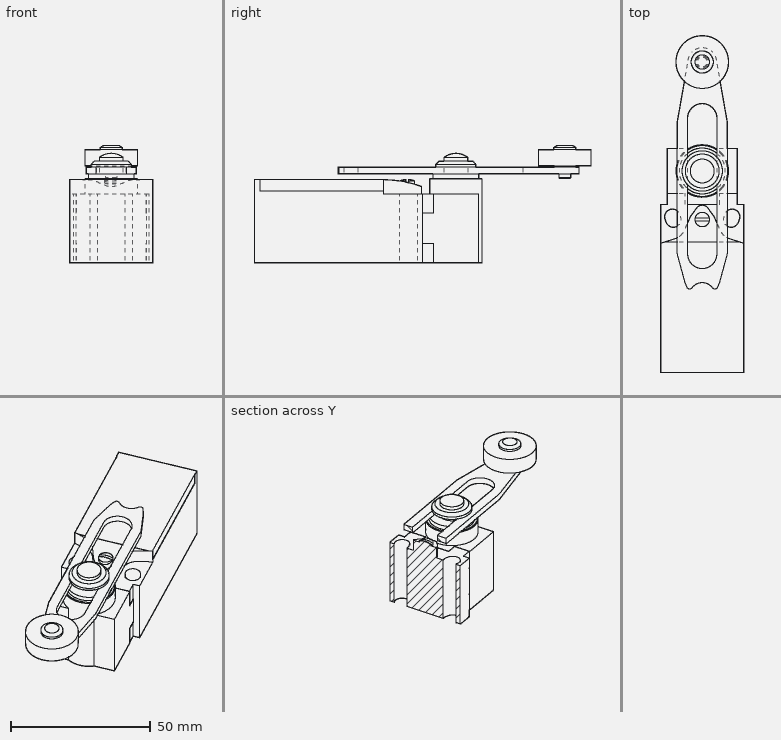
import math

import cadquery as cq


body_width = 30.0
body_height = 30.0
body_front = -72.5
body_back = -12.05
deck_height = 24.8

cover_inset = 0.15
cover_front = -70.5
cover_back = -26.0
cover_bottom = 25.9

head_width = 25.3
head_drop = 0.1
head_height = deck_height - head_drop
head_front = 8.1
boss_radius = 9.45
boss_top = 30.4
boss_chamfer = 0.3

tab_inset = 0.15
tab_start = -8.05
tab_inner = 6.2
tab_height = 6.9

nose_tip = -12.3
nose_round_x = 2.0
nose_round_y = -13.3
nose_flank_x = 4.25
nose_flank_y = -16.4
flank_end_x = 6.4
flank_end_y = -21.2
shoulder_x = 9.9
shoulder_y = -24.4
shoulder_mid_x = 7.7
shoulder_mid_y = -23.1
nose_tip_height = 27.45
slope_mid_y = -18.0
slope_mid_height = 29.1
slope_end = -24.5
slope_top_height = 29.9
lip_y = -25.55

screw_y = -17.45
screw_radius = 2.6
screw_edge_height = 29.5
screw_top = 30.1
screw_slot_width = 1.0
screw_slot_floor = 28.8

hole_radius = 2.75
hole_outer_x = 10.75
hole_outer_y = -16.5
hole_shift_x = 0.35
hole_shift_y = 0.95

arm_bottom = 32.0
arm_thickness = 2.4
arm_top = arm_bottom + arm_thickness
arm_half_width = 9.0
arm_tip_radius = 5.15
arm_taper = math.radians(10)
arm_bend_radius = 3.0
slot_half_width = 5.25
slot_back = 24.2
slot_front = -35.1
foot_bend_y = -29.9
foot_x = 6.3
foot_y = -39.85
toe_outer_x = 5.4
toe_outer_y = -42.0
toe_x = 4.58
toe_y = -42.4
toe_inner_x = 3.7
toe_inner_y = -42.0
notch_top = -40.15

neck_radius = 8.25
washer_radius = 7.25
washer_edge_height = 35.4
washer_top_radius = 6.1
washer_top = 36.6
bolt_radius = 4.3
bolt_edge_height = 37.9
bolt_top = 39.45

roller_y = 39.2
roller_radius = 9.5
roller_bottom = 34.9
roller_top = 40.7
spacer_radius = 3.9
cap_radius = 4.0
cap_edge_height = 41.5
cap_top_radius = 2.6
cap_round_radius = 3.35
cap_round_height = 41.95
cap_top = 42.3
pin_radius = 2.15
pin_bottom = 30.3
pin_chamfer = 0.4


def box(x_min, x_max, y_min, y_max, z_min, z_max):
    """Box between two opposite corners."""
    size = (x_max - x_min, y_max - y_min, z_max - z_min)
    return cq.Workplane("XY").box(*size, centered=False).translate((x_min, y_min, z_min))


def cylinder(radius, x, y, z_min, z_max):
    """Upright cylinder between two heights."""
    return cq.Workplane("XY", origin=(x, y, z_min)).circle(radius).extrude(z_max - z_min)


def dome_shoulder(radius, edge_height, apex_height):
    """Point of a spherical dome halfway out from its axis to its edge, in the axial plane."""
    rise = apex_height - edge_height
    sphere_radius = (radius**2 + rise**2) / (2 * rise)
    shoulder = radius / 2
    return shoulder, apex_height - sphere_radius + math.sqrt(sphere_radius**2 - shoulder**2)


def revolved(profile):
    """Close a profile drawn in a plane through the Z axis and turn it about that axis."""
    return profile.close().revolve(360, (0, 0, 0), (0, 1, 0))


def make_nose():
    """Nose between the cover and the head, sloping down towards its rounded tip."""
    half = body_width / 2
    blank = (
        cq.Workplane("XY", origin=(0, 0, deck_height))
        .moveTo(-half, cover_back)
        .lineTo(-shoulder_x, shoulder_y)
        .threePointArc((-shoulder_mid_x, shoulder_mid_y), (-flank_end_x, flank_end_y))
        .lineTo(-nose_flank_x, nose_flank_y)
        .lineTo(-nose_round_x, nose_round_y)
        .threePointArc((0, nose_tip), (nose_round_x, nose_round_y))
        .lineTo(nose_flank_x, nose_flank_y)
        .lineTo(flank_end_x, flank_end_y)
        .threePointArc((shoulder_mid_x, shoulder_mid_y), (shoulder_x, shoulder_y))
        .lineTo(half, cover_back)
        .close()
        .extrude(body_height - deck_height)
    )
    above_slope = (
        cq.Workplane("YZ", origin=(-half, 0, 0))
        .moveTo(lip_y, body_height)
        .lineTo(lip_y, slope_top_height)
        .lineTo(slope_end, slope_top_height)
        .threePointArc((slope_mid_y, slope_mid_height), (nose_tip, nose_tip_height))
        .lineTo(nose_tip, body_height)
        .close()
        .extrude(body_width)
    )
    return blank.cut(above_slope)


def make_screw():
    """Domed screw head with a straight slot along X."""
    screw = revolved(
        cq.Workplane("YZ", origin=(0, screw_y, 0))
        .moveTo(0, deck_height)
        .lineTo(screw_radius, deck_height)
        .lineTo(screw_radius, screw_edge_height)
        .threePointArc(dome_shoulder(screw_radius, screw_edge_height, screw_top), (0, screw_top))
    )
    slot_back_y = screw_y + screw_slot_width / 2
    slot_front_y = screw_y - screw_slot_width / 2
    slot = box(-screw_radius, screw_radius, slot_front_y, slot_back_y, screw_slot_floor, screw_top)
    return screw, slot


def make_block():
    """Main block: low deck with mounting holes, inset cover and the nose between them."""
    half = body_width / 2
    block = box(-half, half, body_front, body_back, 0, deck_height)
    block = block.union(box(-half, half, body_front, cover_back, 0, body_height))
    block = block.union(make_nose())
    for side in (-1, 1):
        for shift in (0, 1):
            hole_x = side * (hole_outer_x - shift * hole_shift_x)
            hole_y = hole_outer_y - shift * hole_shift_y
            block = block.cut(cylinder(hole_radius, hole_x, hole_y, 0, deck_height))
        inner, outer = sorted((side * (half - cover_inset), side * half))
        block = block.cut(box(inner, outer, cover_front, cover_back, cover_bottom, body_height))
    return block


def make_head():
    """Head with its pivot boss, notched at the corners and filled there by the block's tabs."""
    half = head_width / 2
    head = box(-half, half, body_back, head_front, 0, head_height)
    tabs = []
    for side in (-1, 1):
        for bottom, top in ((0, tab_height), (deck_height - tab_height, deck_height)):
            inner, outer = sorted((side * tab_inner, side * half))
            head = head.cut(box(inner, outer, body_back, tab_start, bottom, top))
            inner, outer = sorted((side * tab_inner, side * (half - tab_inset)))
            tabs.append(box(inner, outer, body_back, tab_start, bottom, top))
    for tab in tabs:
        head = head.union(tab)
    boss = cylinder(boss_radius, 0, 0, 0, boss_top).faces(">Z").chamfer(boss_chamfer)
    return head.union(boss)


def make_housing():
    screw, screw_slot = make_screw()
    return make_block().union(make_head()).union(screw).cut(screw_slot)


def make_arm():
    tip_x = arm_tip_radius * math.cos(arm_taper)
    tip_y = roller_y + arm_tip_radius * math.sin(arm_taper)
    bend_y = tip_y - (arm_half_width - tip_x) / math.tan(arm_taper)
    arm = (
        cq.Workplane("XY", origin=(0, 0, arm_bottom))
        .moveTo(tip_x, tip_y)
        .lineTo(arm_half_width, bend_y)
        .lineTo(arm_half_width, foot_bend_y)
        .lineTo(foot_x, foot_y)
        .lineTo(toe_outer_x, toe_outer_y)
        .threePointArc((toe_x, toe_y), (toe_inner_x, toe_inner_y))
        .threePointArc((0, notch_top), (-toe_inner_x, toe_inner_y))
        .threePointArc((-toe_x, toe_y), (-toe_outer_x, toe_outer_y))
        .lineTo(-foot_x, foot_y)
        .lineTo(-arm_half_width, foot_bend_y)
        .lineTo(-arm_half_width, bend_y)
        .lineTo(-tip_x, tip_y)
        .threePointArc((0, roller_y + arm_tip_radius), (tip_x, tip_y))
        .close()
        .extrude(arm_thickness)
    )
    for widest in ("<X", ">X"):
        arm = arm.faces(widest).edges("|Z").fillet(arm_bend_radius)
    slot = (
        cq.Workplane("XY", origin=(0, (slot_back + slot_front) / 2, arm_bottom))
        .slot2D(slot_back - slot_front, 2 * slot_half_width, 90)
        .extrude(arm_thickness)
    )
    return arm.cut(slot)


def make_hub():
    neck = cylinder(neck_radius, 0, 0, boss_top, arm_bottom)
    upper = revolved(
        cq.Workplane("YZ")
        .moveTo(0, arm_bottom)
        .lineTo(bolt_radius, arm_bottom)
        .lineTo(bolt_radius, arm_top)
        .lineTo(washer_radius, arm_top)
        .lineTo(washer_radius, washer_edge_height)
        .lineTo(washer_top_radius, washer_top)
        .lineTo(bolt_radius, washer_top)
        .lineTo(bolt_radius, bolt_edge_height)
        .threePointArc(dome_shoulder(bolt_radius, bolt_edge_height, bolt_top), (0, bolt_top))
    )
    return neck.union(upper)


def make_roller():
    return revolved(
        cq.Workplane("YZ", origin=(0, roller_y, 0))
        .moveTo(0, pin_bottom)
        .lineTo(pin_radius - pin_chamfer, pin_bottom)
        .lineTo(pin_radius, pin_bottom + pin_chamfer)
        .lineTo(pin_radius, arm_top)
        .lineTo(spacer_radius, arm_top)
        .lineTo(spacer_radius, roller_bottom)
        .lineTo(roller_radius, roller_bottom)
        .lineTo(roller_radius, roller_top)
        .lineTo(cap_radius, roller_top)
        .lineTo(cap_radius, cap_edge_height)
        .threePointArc((cap_round_radius, cap_round_height), (cap_top_radius, cap_top))
        .lineTo(0, cap_top)
    )


housing = make_housing()
lever = make_arm().union(make_hub()).union(make_roller())

result = cq.Compound.makeCompound([housing.val(), lever.val()])